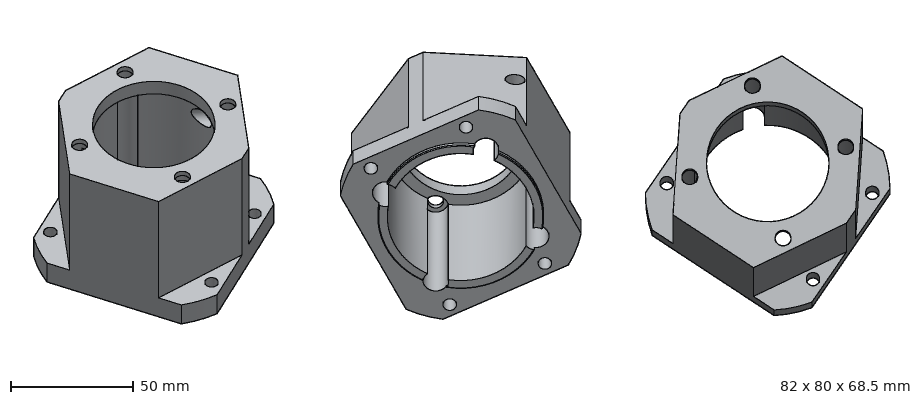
import cadquery as cq
import math

WIDTH = 82.0
DEPTH = 80.0
HEIGHT = 68.5

SPIGOT_HEIGHT = 2.0
SPIGOT_DIAMETER = 67.9
SPIGOT_CHAMFER = 0.4
FLANGE_THICKNESS = 11.0
FLANGE_CORNER_DIAMETER = 100.0
FLANGE_HOLE_DIAMETER = 5.5
FLANGE_HOLE_X = 36.0
FLANGE_HOLE_BACK_Y = 20.4
FLANGE_HOLE_FRONT_Y = -23.05

BODY_BACK_FACE_WIDTH = 39.7
FACE_SLOPE = math.tan(math.radians(60))

LIP_DIAMETER = 50.0
LIP_THICKNESS = 7.2
BORE_DIAMETER = 60.0

SCREW_HOLE_DIAMETER = 6.5
SCREW_OFFSET = 23.0
SCREW_SEAT_THICKNESS = 2.5
WELL_DIAMETER = 10.5

CROSS_HOLE_DIAMETER = 8.0
CROSS_HOLE_ANGLE = 30.0
CROSS_HOLE_OFFSET = 20.0
CROSS_HOLE_Z = 50.0

FLANGE_TOP = SPIGOT_HEIGHT + FLANGE_THICKNESS
SCREW_POINTS = [(x, y) for x in (-SCREW_OFFSET, SCREW_OFFSET) for y in (-SCREW_OFFSET, SCREW_OFFSET)]
FLANGE_POINTS = [
    (x, y)
    for x in (-FLANGE_HOLE_X, FLANGE_HOLE_X)
    for y in (FLANGE_HOLE_FRONT_Y, FLANGE_HOLE_BACK_Y)
]


def cylinders(diameter, bottom, top, points):
    """Vertical cylinders between two heights."""
    return (
        cq.Workplane("XY", origin=(0, 0, bottom))
        .pushPoints(points)
        .circle(diameter / 2)
        .extrude(top - bottom)
    )


def make_spigot():
    return cylinders(SPIGOT_DIAMETER, 0, FLANGE_TOP, [(0, 0)]).faces("<Z").chamfer(SPIGOT_CHAMFER)


def make_flange():
    """Rectangular plate with its corners rounded by one large circle."""
    plate = cq.Workplane("XY", origin=(0, 0, SPIGOT_HEIGHT)).rect(WIDTH, DEPTH).extrude(FLANGE_THICKNESS)
    return plate.intersect(cylinders(FLANGE_CORNER_DIAMETER, SPIGOT_HEIGHT, FLANGE_TOP, [(0, 0)]))


def make_body():
    """Hexagonal prism whose two side corners are cut flat at the flange width."""
    side_x = WIDTH / 2
    back_x = BODY_BACK_FACE_WIDTH / 2
    back_y = DEPTH / 2
    side_y = back_y - (side_x - back_x) * FACE_SLOPE
    outline = [
        (back_x, back_y),
        (side_x, side_y),
        (side_x, -side_y),
        (back_x, -back_y),
        (-back_x, -back_y),
        (-side_x, -side_y),
        (-side_x, side_y),
        (-back_x, back_y),
    ]
    base = cq.Workplane("XY", origin=(0, 0, SPIGOT_HEIGHT))
    return base.polyline(outline).close().extrude(HEIGHT - SPIGOT_HEIGHT)


def make_cross_hole():
    """Horizontal hole from inside the bore out through one slanted face, offset from the bore axis."""
    return (
        cq.Workplane("YZ")
        .center(CROSS_HOLE_OFFSET, CROSS_HOLE_Z)
        .circle(CROSS_HOLE_DIAMETER / 2)
        .extrude(WIDTH / 2)
        .rotate((0, 0, 0), (0, 0, 1), CROSS_HOLE_ANGLE)
    )


result = (
    make_spigot()
    .union(make_flange())
    .union(make_body())
    .cut(cylinders(LIP_DIAMETER, 0, HEIGHT, [(0, 0)]))
    .cut(cylinders(BORE_DIAMETER, 0, HEIGHT - LIP_THICKNESS, [(0, 0)]))
    .cut(cylinders(SCREW_HOLE_DIAMETER, 0, HEIGHT, SCREW_POINTS))
    .cut(cylinders(WELL_DIAMETER, 0, HEIGHT - SCREW_SEAT_THICKNESS, SCREW_POINTS))
    .cut(cylinders(FLANGE_HOLE_DIAMETER, 0, FLANGE_TOP, FLANGE_POINTS))
    .cut(make_cross_hole())
)